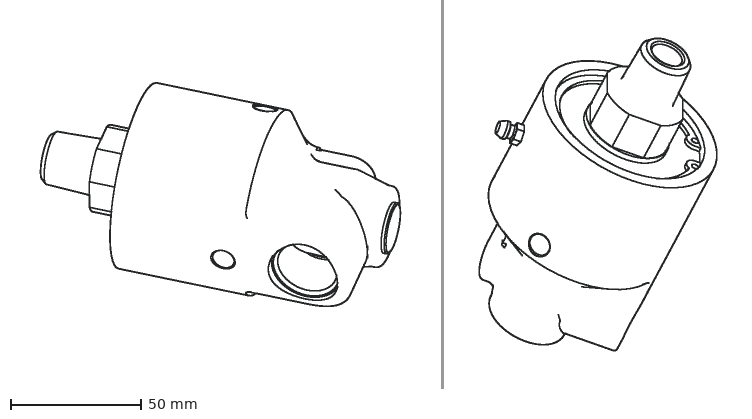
import cadquery as cq
import math

total_length = 139.0

tip_chamfer_radius = 8.9
tip_chamfer_length = 2.0
thread_tip_radius = 10.4
thread_root_radius = 11.1
thread_end_x = 19.7
thread_fillet_radius = 2.1
bore_diameter = 12.6
bore_mouth_diameter = 14.2
collar_start_x = 21.8
collar_diameter = 34.2
flange_diameter = 34.8
collar_flats_width = 31.5
flange_start_x = 38.5

body_start_x = 36.4
body_end_x = 89.0
body_radius = 73.0 / 2
recess_diameter = 62.5
ring_face_depth = 2.8
ring_thickness = 1.7
ring_x = body_start_x + ring_face_depth
recess_floor_x = ring_x + ring_thickness

ring_inner_diameter = 56.5
lug_hole_diameter = 2.8
lug_hole_y = -28.5
lug_hole_z = 8.5
lug_radius = 3.6

neck_radius = 19.5
cone_end_x = 102.9
neck_end_x = 120.5
cap_radius = 32.0 / 2
cap_start_x = 133.6
cap_end_x = 137.2
cap_fillet = 2.2
end_disc_radius = 10.0
end_disc_chamfer = 0.5

boss_half_width = 18.97
boss_center_x = 114.5
cone_root_fillet = 5.5
boss_edge_fillet = 1.4

pad_half_width = 10.0
pad_top_y = 25.5
pad_root_fillet = 5.5
pad_edge_fillet = 1.7
pad_edge_start_x = 100.8

shaft_radius = 32.0 / 2
port_x = 114.0
counterbore_diameter = 27.8
counterbore_floor = 32.2
port_chamfer_radius = 13.2
port_mouth_radius = 11.88
port_end_radius = 22.7 / 2
port_chamfer_end = 30.9
port_taper_end = 12.8
port_throat_radius = 10.3

radial_hole_x = 81.9
radial_hole_diameter = 8.6
radial_hole_mouth = 9.7
radial_hole_count = 3

nipple_x = 58.0
nipple_hex_flats = 7.2
nipple_hex_top = 39.3
nipple_hex_sink = 1.4
nipple_shoulder_radius = 6.4 / 2
nipple_shoulder_top = 40.0
nipple_neck_radius = 5.4 / 2
nipple_neck_top = 41.7
nipple_head_radius = 3.6
nipple_head_bottom = 42.1
nipple_head_rim = 43.4
nipple_top_radius = 2.5
nipple_top = 82.4 - body_radius


def x_cylinder(radius, start, end):
    return cq.Workplane("YZ", origin=(start, 0, 0)).circle(radius).extrude(end - start)


def y_obround(half_width, start_y, end_y):
    """Block from inside the body to a round end about boss_center_x, standing along Y."""
    length = boss_center_x - body_end_x
    block = cq.Workplane("XY").box(length, end_y - start_y, 2 * half_width, centered=(False, False, True))
    block = block.translate((body_end_x, start_y, 0))
    round_end = cq.Workplane("XZ", origin=(boss_center_x, end_y, 0)).circle(half_width)
    return block.union(round_end.extrude(end_y - start_y))


def make_housing():
    return (
        cq.Workplane("XY")
        .moveTo(body_start_x, 0)
        .lineTo(body_start_x, body_radius)
        .lineTo(body_end_x, body_radius)
        .lineTo(cone_end_x, neck_radius)
        .lineTo(neck_end_x, neck_radius)
        .lineTo(cap_start_x, cap_radius)
        .lineTo(cap_end_x, cap_radius)
        .lineTo(cap_end_x, 0)
        .close()
        .revolve(360, (0, 0, 0), (1, 0, 0))
    )


def make_boss():
    return y_obround(boss_half_width, -body_radius, 0).intersect(x_cylinder(body_radius, 0, total_length))


def make_pad():
    return y_obround(pad_half_width, 0, pad_top_y)


def make_pad_edge_waste():
    """Sliver outside the rounded top edge of the pad, clear of the cone."""
    rounded_pad = make_pad().faces(">Y").edges("not <X").fillet(pad_edge_fillet)
    waste = make_pad().cut(rounded_pad)
    return waste.intersect(x_cylinder(body_radius, pad_edge_start_x, total_length))


def edge_box(low_corner, high_corner):
    """Selector for edges whose centers lie between two corners."""
    return cq.selectors.BoxSelector(low_corner, high_corner)


def make_filleted_housing():
    housing = make_housing().union(make_boss())
    reach = 0.1

    rim_depth = 9.0
    rim = edge_box(
        (body_end_x + reach, -body_radius - reach, -boss_half_width - reach),
        (total_length, -body_radius + rim_depth, boss_half_width + reach),
    )
    housing = housing.edges(rim).fillet(boss_edge_fillet)

    cone_circle = edge_box(
        (cone_end_x - reach, -neck_radius, -neck_radius),
        (cone_end_x + reach, neck_radius, neck_radius),
    )
    boss_side_roots = cq.selectors.StringSyntaxSelector("%HYPERBOLA")
    housing = housing.edges(boss_side_roots + cone_circle).fillet(cone_root_fillet)

    housing = housing.union(make_pad())
    pad_end_x = boss_center_x + pad_half_width
    pad_side_z = pad_half_width + reach
    pad_side_roots = edge_box(
        (body_end_x, cap_radius, -pad_side_z),
        (pad_end_x + reach, pad_top_y - pad_edge_fillet, pad_side_z),
    )
    pad_top_root = edge_box(
        (body_end_x, pad_top_y - reach, -pad_side_z),
        (pad_edge_start_x, pad_top_y + reach, pad_side_z),
    )
    pad_edges = housing.edges(pad_side_roots + pad_top_root)
    housing = pad_edges.edges("not |Y").fillet(pad_root_fillet)
    housing = housing.cut(make_pad_edge_waste())

    housing = housing.faces(">X").edges().fillet(cap_fillet)
    end_disc = x_cylinder(end_disc_radius, neck_end_x, total_length)
    return housing.union(end_disc.faces(">X").chamfer(end_disc_chamfer))


def cut_recess(part):
    """Ring-shaped recess in the front face, with a retaining ring seated in it."""
    recess = x_cylinder(recess_diameter / 2, body_start_x, recess_floor_x)
    ring = x_cylinder(recess_diameter / 2, ring_x, recess_floor_x).cut(
        x_cylinder(ring_inner_diameter / 2, ring_x, recess_floor_x)
    )
    gap_size = recess_diameter / 2
    gap = cq.Workplane("XY").box(2 * recess_floor_x, gap_size, 2 * lug_hole_z).translate((0, -gap_size, 0))
    ring = ring.cut(gap)
    lug_points = [(lug_hole_y, lug_hole_z), (lug_hole_y, -lug_hole_z)]
    ring_plane = cq.Workplane("YZ", origin=(ring_x, 0, 0)).pushPoints(lug_points)
    lug_discs = ring_plane.circle(lug_radius).extrude(ring_thickness)
    lug_ends = ring_plane.rect(2 * lug_radius, 2 * lug_radius).extrude(ring_thickness)
    outer_side = cq.Workplane("XY").box(2 * recess_floor_x, gap_size, body_radius).translate(
        (0, lug_hole_y - gap_size / 2, 0)
    )
    lugs = lug_discs.union(lug_ends.intersect(outer_side)).intersect(recess)
    lug_holes = ring_plane.circle(lug_hole_diameter / 2).extrude(ring_thickness)
    return part.cut(recess.cut(ring.union(lugs).cut(lug_holes)))


def make_rotor():
    """Round flange, flatted collar and tapered threaded end."""
    collar_length = flange_start_x - collar_start_x
    flats = cq.Workplane("YZ", origin=(collar_start_x, 0, 0)).rect(collar_flats_width, collar_flats_width)
    collar = x_cylinder(collar_diameter / 2, collar_start_x, flange_start_x)
    collar = collar.intersect(flats.extrude(collar_length))
    collar = collar.union(x_cylinder(flange_diameter / 2, flange_start_x, recess_floor_x))
    thread_end = (
        cq.Workplane("XY")
        .lineTo(0, tip_chamfer_radius)
        .lineTo(tip_chamfer_length, thread_tip_radius)
        .lineTo(thread_end_x, thread_root_radius)
        .radiusArc((collar_start_x, thread_root_radius + thread_fillet_radius), -thread_fillet_radius)
        .lineTo(collar_start_x, 0)
        .close()
        .revolve(360, (0, 0, 0), (1, 0, 0))
    )
    bore_radius = bore_diameter / 2
    mouth_radius = bore_mouth_diameter / 2
    bore = (
        cq.Workplane("XY")
        .lineTo(0, mouth_radius)
        .lineTo(mouth_radius - bore_radius, bore_radius)
        .lineTo(recess_floor_x, bore_radius)
        .lineTo(recess_floor_x, 0)
        .close()
        .revolve(360, (0, 0, 0), (1, 0, 0))
    )
    return collar.union(thread_end).cut(bore)


def make_port_cutter():
    """Counterbore, chamfer, tapered thread and throat, turned about the port axis."""
    profile = (
        cq.Workplane("XY", origin=(port_x, 0, 0))
        .lineTo(port_throat_radius, 0)
        .lineTo(port_throat_radius, -port_taper_end)
        .lineTo(port_end_radius, -port_taper_end)
        .lineTo(port_mouth_radius, -port_chamfer_end)
        .lineTo(port_chamfer_radius, -counterbore_floor)
        .lineTo(counterbore_diameter / 2, -counterbore_floor)
        .lineTo(counterbore_diameter / 2, -body_radius)
        .lineTo(0, -body_radius)
        .close()
    )
    return profile.revolve(360, (0, 0, 0), (0, 1, 0))


def make_radial_hole_cutter():
    """Countersunk hole along -Y."""
    hole_radius = radial_hole_diameter / 2
    mouth_radius = radial_hole_mouth / 2
    profile = (
        cq.Workplane("XY", origin=(radial_hole_x, 0, 0))
        .lineTo(hole_radius, 0)
        .lineTo(hole_radius, mouth_radius - hole_radius - body_radius)
        .lineTo(mouth_radius, -body_radius)
        .lineTo(0, -body_radius)
        .close()
    )
    return profile.revolve(360, (0, 0, 0), (0, 1, 0))


def cut_radial_openings(part):
    """The port and the radial holes all end on the convex inner shaft."""
    cutters = make_port_cutter()
    for index in range(radial_hole_count):
        angle = 360 / radial_hole_count * index
        cutters = cutters.union(make_radial_hole_cutter().rotate((0, 0, 0), (1, 0, 0), angle))
    return part.cut(cutters.cut(x_cylinder(shaft_radius, 0, total_length)))


def make_nipple():
    hex_bottom = body_radius - nipple_hex_sink
    corner_diameter = nipple_hex_flats / math.cos(math.pi / 6)
    hexagon = cq.Workplane("XZ", origin=(nipple_x, nipple_hex_top, 0)).transformed(rotate=(0, 0, 90))
    hexagon = hexagon.polygon(6, corner_diameter).extrude(nipple_hex_top - hex_bottom)
    head = (
        cq.Workplane("XY", origin=(nipple_x, 0, 0))
        .moveTo(0, hex_bottom)
        .lineTo(nipple_shoulder_radius, hex_bottom)
        .lineTo(nipple_shoulder_radius, nipple_hex_top)
        .lineTo(nipple_neck_radius, nipple_shoulder_top)
        .lineTo(nipple_neck_radius, nipple_neck_top)
        .lineTo(nipple_head_radius, nipple_head_bottom)
        .lineTo(nipple_head_radius, nipple_head_rim)
        .lineTo(nipple_top_radius, nipple_top)
        .lineTo(0, nipple_top)
        .close()
        .revolve(360, (0, 0, 0), (0, 1, 0))
    )
    return hexagon.union(head)


result = cut_recess(make_filleted_housing())
result = cut_radial_openings(result)
result = result.union(make_rotor()).union(make_nipple())